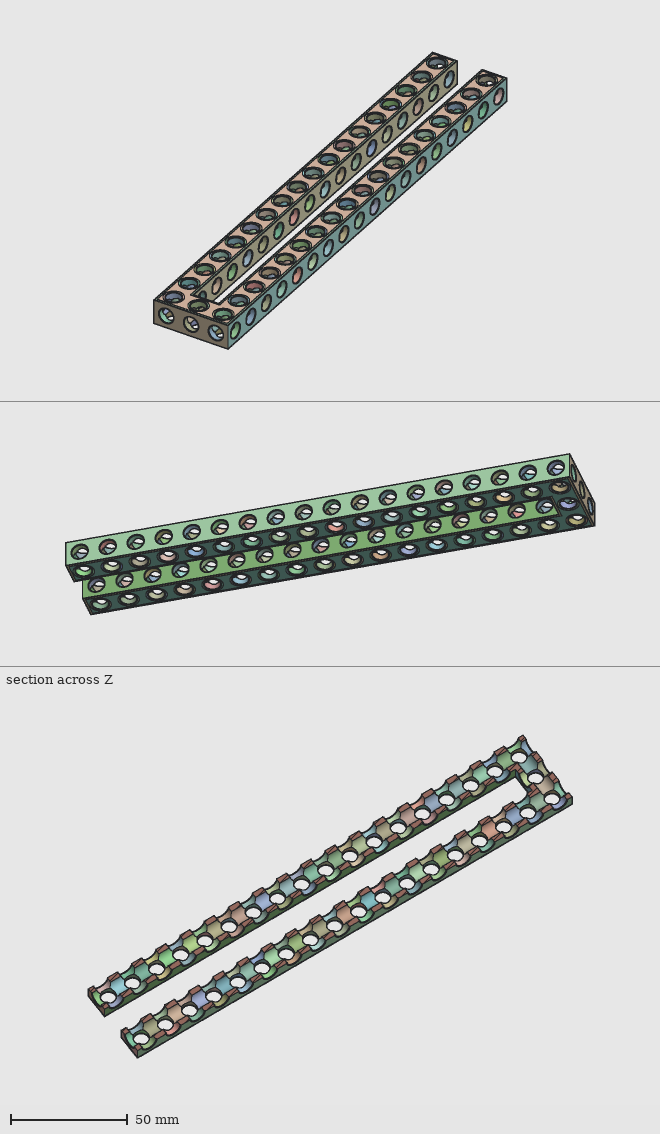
import cadquery as cq

length = 225.0
row_count = 18
column_count = 3
pitch = length / row_count
width = column_count * pitch
height = pitch
arm_length = length - pitch

bore_diameter = 7.0

upper_step_inset = 1.1
upper_step_depth = 0.07
lower_step_inset = 0.2
lower_step_depth = 0.2

vertical_mouths = [(9.2, 0.07), (7.6, 0.27)]
side_mouths = [(7.6, 0.34)]

outer_column = (width - pitch) / 2
arm_columns = [-outer_column, outer_column]
rows = [(j - (row_count - 1) / 2) * pitch for j in range(row_count)]
closed_row = rows[0]
arm_rows = rows[1:]
arm_middle = (length - arm_length) / 2


def u_layer(inset, half_height):
    """U-shaped slab centred on Z = 0, with its outline drawn in by the inset."""
    slab = cq.Workplane("XY").box(width - 2 * inset, length - 2 * inset, 2 * half_height)
    slot = cq.Workplane("XY").box(pitch + 2 * inset, arm_length + 2 * inset, 2 * half_height)
    return slab.cut(slot.translate((0, arm_middle, 0)))


def u_body():
    """Full-outline core with two narrower layers showing above and below it."""
    core = u_layer(0, height / 2 - lower_step_depth)
    lower_step = u_layer(lower_step_inset, height / 2 - upper_step_depth)
    upper_step = u_layer(upper_step_inset, height / 2)
    return core.union(lower_step).union(upper_step)


def hole_cutter(span, mouths):
    """Bore along Z through the span, with counterbored mouths at both ends."""
    cutter = cq.Workplane("XY").circle(bore_diameter / 2).extrude(span / 2, both=True)
    for diameter, depth in mouths:
        for end_sign in (-1, 1):
            mouth = cq.Workplane("XY").circle(diameter / 2).extrude(depth)
            mouth_middle = end_sign * (span - depth) / 2
            cutter = cutter.union(mouth.translate((0, 0, mouth_middle - depth / 2)))
    return cutter


def along_x(cutter):
    return cutter.rotate((0, 0, 0), (0, 1, 0), 90)


def along_y(cutter):
    return cutter.rotate((0, 0, 0), (1, 0, 0), 90)


def placed(cutter, centres):
    return cq.Workplane("XY").pushPoints(centres).eachpoint(cutter.val())


arm_cells = [(x, y) for x in arm_columns for y in arm_rows]
all_cells = [(x, y) for x in arm_columns for y in rows] + [(0, closed_row)]

vertical_holes = placed(hole_cutter(height, vertical_mouths), all_cells)

arm_cross_holes = placed(along_x(hole_cutter(pitch, side_mouths)), arm_cells)
closed_cross_hole = along_x(hole_cutter(width, side_mouths)).translate((0, closed_row, 0))

arm_long_holes = placed(along_y(hole_cutter(length, side_mouths)), [(x, 0) for x in arm_columns])
slot_hole = along_y(hole_cutter(pitch, side_mouths)).translate((0, closed_row, 0))

result = u_body()
for holes in (vertical_holes, arm_cross_holes, closed_cross_hole, arm_long_holes, slot_hole):
    result = result.cut(holes)